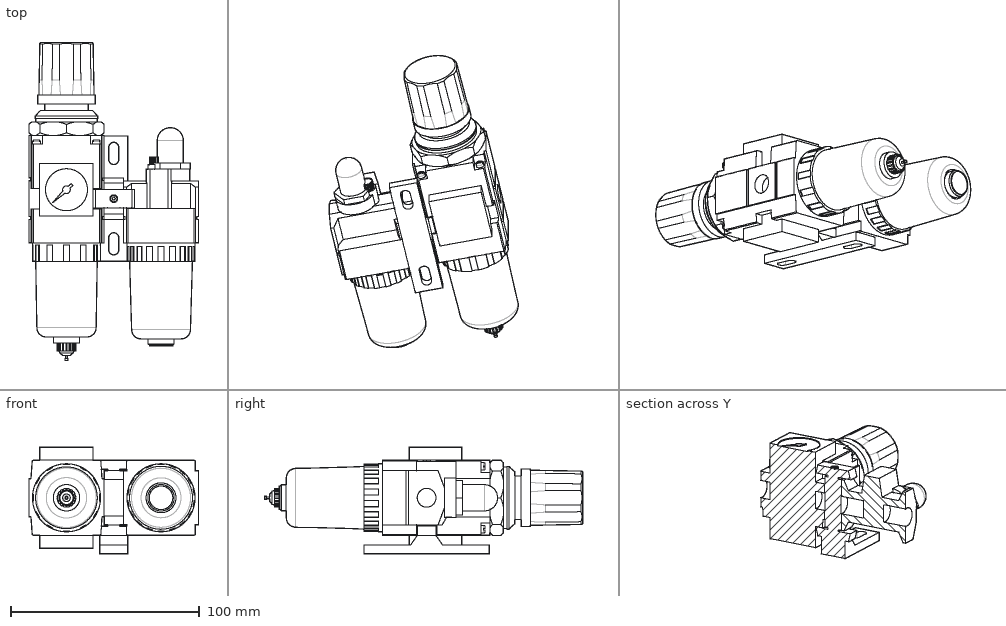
import cadquery as cq
import math


overall_width = 90.0
pitch = 50.0
body_half_z = 19.9
body_half_x = 18.2
side_draft = 0.7
band_half_x = (overall_width - pitch) / 2
body_bottom = -23.5
edge_bevel_x = 0.7
edge_bevel_z = 0.42
port_diameter = 10.0
port_depth = 13.5
groove_y = 10.3
groove_width = 1.43
groove_depth = 1.0
ring_radius = 18.0
ring_bottom = -33.2
ring_slot_width = 3.4
ring_slot_depth = 0.5
bowl_fillet = 5.0
flute_count = 16
flute_size = 0.7
tool_reach = 1.7

regulator_top = 33.5
clamp_inner_z = 15.0
regulator_band_half_z = 10.1
notch_half_y = 5.4
notch_inner_x = 14.2
pocket_inner_x = 12.8
pocket_inner_z = 13.3
pocket_depth = 4.7
screw_diameter = 4.0
screw_height = 2.2
screw_slot_width = 0.7
screw_slot_depth = 0.8
nut_radius = band_half_x
nut_top = 40.6
nut_chamfer = 1.3
seat_radius = 16.7
seat_base_radius = 16.3
seat_top_radius = 13.8
seat_lip_bottom = 42.5
seat_lip_top = 43.6
neck_radius = 11.6
neck_bottom = 46.7
flange_radius = 15.3
flange_bottom = 50.0
flange_top = 55.0
grip_radius = 15.0
grip_taper_start = 62.9
knob_top = 82.7
knob_top_radius = 13.6
knob_edge_radius = 14.7
knob_edge_height = 1.0
knob_sides = 8
knob_flat_top = 14.2
knob_flat_bottom = 14.7
gauge_half_x = 14.2
gauge_top = 18.7
gauge_bottom = -9.3
gauge_half_z = 26.8
dial_radius = 11.1
dial_depth = 0.5
needle_height = 0.3
needle_length = 10.1
needle_angle = 223.0
needle_hub_radius = 2.0
needle_root_half_width = 1.0
needle_tail_length = 4.0
needle_tail_half_width = 0.7
regulator_slots = 12
regulator_slot_top = -24.5
bowl_top_radius = 16.3
bowl_bottom_radius = 15.7
bowl_bottom = -73.3
drain_collar_radius = 14.0 / 2
drain_grip_bottom = -80.5
drain_grip_top = -76.5
drain_grip_radius = 10.0 / 2
drain_cone_radius = 4.0
drain_edge_radius = 3.5
drain_edge_y = -81.7
drain_tip_radius = 2.0
drain_tip_bottom = -83.0
pin_radius = 0.54
pin_head_radius = 0.8
pin_head_top = -84.8
pin_bottom = -85.8

lubricator_top = 9.5
head_front = -5.2
lubricator_band_half_z = 14.3
rear_floor_z = 9.0
rear_floor_half_x = 15.5
rear_bevel_y = 6.0
rear_bevel_floor_y = 8.1
boss_x = 49.0
boss_half_top = 4.7
boss_half_bottom = 6.9
boss_top_z = 19.2
boss_bottom_z = 6.2
boss_end_y = 15.7
dome_x = 55.0
dome_radius = 14.0 / 2
dome_fillet = 6.9
dome_top = 37.5
sight_hex_radius = 10.6
sight_seat_radius = 10.5
sight_hex_top = 18.9
needle_valve_x = 47.5
needle_valve_shoulder = 18.0
needle_valve_top = 22.0
needle_valve_radius = 3.5
needle_valve_collar_radius = 9.0 / 2
lubricator_slots = 18
lubricator_slot_top = -25.5
cup_top_radius = 16.7
cup_bottom_radius = 15.5
cup_bottom = -74.3
stub_radius = dome_radius
stub_end_radius = 6.2
stub_bevel_top = -76.8
stub_bevel_bottom = -77.5
stub_bottom = -78.0
stub_recess_radius = 8.0
stub_recess = 0.8

spacer_x = pitch / 2
spacer_half_x = spacer_x - band_half_x
spacer_half_z = lubricator_band_half_z
spacer_half_y = 11.0
spacer_flat_half_y = 8.3
spacer_flat_half_z = 9.6
hub_half_x = 3.2
clamp_half_y = 4.9
clamp_half_top = 9.6
clamp_half_bottom = spacer_x - notch_inner_x
clamp_screw_diameter = 4.0
clamp_screw_recess = 0.5
clamp_screw_core = 3.4
clamp_hex_size = 1.7
clamp_hex_depth = 1.3
bracket_half_x = 7.4
bracket_half_y = 33.2
bracket_top_z = -25.0
bracket_bottom_z = -29.7
riser_half_bottom = 8.5
bracket_slot_y = 24.0
bracket_slot_length = 11.6
bracket_slot_width = 5.2


def block(x0, x1, y0, y1, z0, z1):
    """Box between the given coordinates."""
    return cq.Workplane("XY").box(x1 - x0, y1 - y0, z1 - z0, centered=False).translate((x0, y0, z0))


def turned(points):
    """Solid of revolution about the Y axis; points are (radius, y)."""
    return cq.Workplane("XY").polyline(points).close().revolve(360, (0, 0, 0), (0, 1, 0))


def cylinder(radius, y0, y1):
    """Cylinder along the Y axis."""
    return turned([(0, y0), (radius, y0), (radius, y1), (0, y1)])


def extruded_y(section, y0, y1):
    """Prism along Y with the given (x, z) section."""
    return cq.Workplane("XZ", origin=(0, y1, 0)).polyline(section).close().extrude(y1 - y0)


def y_prism(sides, radius, y0, y1):
    """Regular prism along Y with a corner at +X."""
    angles = [math.radians(360 * i / sides) for i in range(sides)]
    corners = [(radius * math.cos(a), radius * math.sin(a)) for a in angles]
    return extruded_y(corners, y0, y1)


def beveled_body(y0, y1, band_half_z, draft):
    """Full-depth body block with bevelled long edges; the draft widens it towards the port bands."""
    half_flat = body_half_x - edge_bevel_x
    bevel_z = body_half_z - edge_bevel_z
    section = [
        (-half_flat, -body_half_z), (half_flat, -body_half_z), (body_half_x, -bevel_z),
        (body_half_x + draft, -band_half_z), (body_half_x + draft, band_half_z), (body_half_x, bevel_z),
        (half_flat, body_half_z), (-half_flat, body_half_z), (-body_half_x, bevel_z),
        (-body_half_x - draft, band_half_z), (-body_half_x - draft, -band_half_z), (-body_half_x, -bevel_z),
    ]
    return extruded_y(section, y0, y1)


def cut_band_grooves(body, half_z):
    """Grooves across both port bands."""
    for side in (-1, 1):
        for y in (-groove_y, groove_y):
            groove = cq.Workplane("XY").box(2 * groove_depth, groove_width, 2 * half_z)
            body = body.cut(groove.translate((side * band_half_x, y, 0)))
    return body


def port(side):
    """Blind port drilled in from the -X (-1) or +X (1) band."""
    return cq.Workplane("YZ", origin=(side * band_half_x, 0, 0)).circle(port_diameter / 2).extrude(
        -side * port_depth
    )


def slotted_ring(count, first_angle, slot_top):
    """Bowl collar with shallow slots around it, open at the lower end."""
    ring = cylinder(ring_radius, ring_bottom, body_bottom)
    cutter = block(
        ring_radius - ring_slot_depth, ring_radius + tool_reach,
        ring_bottom - tool_reach, slot_top,
        -ring_slot_width / 2, ring_slot_width / 2,
    )
    for i in range(count):
        ring = ring.cut(cutter.rotate((0, 0, 0), (0, 1, 0), first_angle + 360 * i / count))
    return ring


def bowl(top_radius, bottom_radius, bottom):
    """Tapered bowl below the collar, rounded at its lower end."""
    shell = turned([(0, ring_bottom), (top_radius, ring_bottom), (bottom_radius, bottom), (0, bottom)])
    return shell.faces("<Y").edges().fillet(bowl_fillet)


def fluted_grip(radius, y0, y1):
    """Cylinder along Y with square flutes around it."""
    grip = cylinder(radius, y0, y1)
    flute = cq.Workplane("XY").box(flute_size, y1 - y0, flute_size).translate((radius, (y0 + y1) / 2, 0))
    for i in range(flute_count):
        grip = grip.cut(flute.rotate((0, 0, 0), (0, 1, 0), 360 * i / flute_count))
    return grip


def knob():
    """Adjusting knob with drafted flats, its flange, neck and seat."""
    grip = turned([
        (0, flange_top), (grip_radius, flange_top), (grip_radius, grip_taper_start),
        (knob_edge_radius, knob_top - knob_edge_height), (knob_top_radius, knob_top), (0, knob_top),
    ])
    corner = 1 / math.cos(math.pi / knob_sides)
    half_step = 180 / knob_sides
    flats = (
        cq.Workplane("XZ", origin=(0, flange_top, 0))
        .polygon(knob_sides, 2 * knob_flat_bottom * corner)
        .workplane(offset=flange_top - knob_top)
        .polygon(knob_sides, 2 * knob_flat_top * corner)
        .loft(ruled=True)
        .rotate((0, 0, 0), (0, 1, 0), half_step)
    )
    base = turned([
        (0, nut_top), (seat_base_radius, nut_top), (seat_base_radius, seat_lip_bottom),
        (seat_radius, seat_lip_bottom), (seat_radius, seat_lip_top), (seat_top_radius, neck_bottom),
        (neck_radius, neck_bottom), (neck_radius, flange_bottom), (flange_radius, flange_bottom),
        (flange_radius, flange_top), (0, flange_top),
    ])
    return grip.intersect(flats).union(base)


def nut():
    """Octagonal nut, chamfered on both ends."""
    rim = nut_radius - nut_chamfer
    chamfer_cone = turned([
        (0, regulator_top), (rim, regulator_top), (nut_radius, regulator_top + nut_chamfer),
        (nut_radius, nut_top - nut_chamfer), (rim, nut_top), (0, nut_top),
    ])
    return y_prism(8, nut_radius, regulator_top, nut_top).intersect(chamfer_cone)


def regulator_body():
    """Body with side bands, ports and clamp notches."""
    body = beveled_body(body_bottom, regulator_top, regulator_band_half_z, side_draft)
    bands = block(
        -band_half_x, band_half_x, body_bottom, regulator_top,
        -regulator_band_half_z, regulator_band_half_z,
    )
    body = body.union(cut_band_grooves(bands, regulator_band_half_z))
    body = body.cut(port(-1)).cut(port(1))
    far_z = body_half_z + tool_reach
    for side in (-1, 1):
        x0, x1 = sorted((side * (band_half_x + tool_reach), side * notch_inner_x))
        body = body.cut(block(x0, x1, -notch_half_y, notch_half_y, regulator_band_half_z, far_z))
        body = body.cut(block(x0, x1, -notch_half_y, notch_half_y, -far_z, -clamp_inner_z))
    return body


def add_corner_screws(body):
    """Open pocket with a slotted screw head in each upper corner."""
    floor_y = regulator_top - pocket_depth
    screw_x = (pocket_inner_x + body_half_x + side_draft) / 2
    screw_z = (pocket_inner_z + body_half_z) / 2
    reach = band_half_x + tool_reach
    for side_x in (-1, 1):
        for side_z in (-1, 1):
            x0, x1 = sorted((side_x * pocket_inner_x, side_x * reach))
            z0, z1 = sorted((side_z * pocket_inner_z, side_z * reach))
            body = body.cut(block(x0, x1, floor_y, regulator_top, z0, z1))
            head = cylinder(screw_diameter / 2, floor_y, floor_y + screw_height)
            head = head.faces(">Y").edges().fillet(screw_slot_depth)
            slot = cq.Workplane("XY").box(screw_diameter, 2 * screw_slot_depth, screw_slot_width)
            head = head.cut(slot.translate((0, floor_y + screw_height, 0)))
            body = body.union(head.translate((side_x * screw_x, 0, side_z * screw_z)))
    return body


def gauge():
    """Square gauge through the body, with a dial and needle on the upper face."""
    case = block(-gauge_half_x, gauge_half_x, gauge_bottom, gauge_top, -gauge_half_z, gauge_half_z)
    dial_y = (gauge_top + gauge_bottom) / 2
    dial_floor = gauge_half_z - dial_depth
    case = case.cut(
        cq.Workplane("XY", origin=(0, dial_y, dial_floor)).circle(dial_radius).extrude(dial_depth)
    )
    pointer = cq.Workplane("XY").polyline(
        [(0, -needle_root_half_width), (needle_length, 0), (0, needle_root_half_width)]
    ).close().extrude(needle_height)
    tail = block(
        -needle_tail_length, 0, -needle_tail_half_width, needle_tail_half_width, 0, needle_height
    )
    hub = cq.Workplane("XY").circle(needle_hub_radius).extrude(needle_height)
    needle = hub.union(pointer).union(tail)
    needle = needle.rotate((0, 0, 0), (0, 0, 1), needle_angle)
    return case.union(needle.translate((0, dial_y, dial_floor)))


def drain():
    """Drain collar, fluted grip and push pin."""
    collar = cylinder(drain_collar_radius, drain_grip_top, bowl_bottom)
    grip = fluted_grip(drain_grip_radius, drain_grip_bottom, drain_grip_top)
    tip = turned([
        (0, pin_bottom), (pin_head_radius, pin_bottom), (pin_head_radius, pin_head_top),
        (pin_radius, pin_head_top), (pin_radius, drain_tip_bottom), (drain_tip_radius, drain_tip_bottom),
        (drain_edge_radius, drain_edge_y), (drain_cone_radius, drain_grip_bottom), (0, drain_grip_bottom),
    ])
    return collar.union(grip).union(tip)


def make_regulator():
    """Filter-regulator with its knob, gauge, bowl and drain."""
    body = add_corner_screws(regulator_body())
    body = body.union(gauge()).union(nut()).union(knob())
    body = body.union(slotted_ring(regulator_slots, 0, regulator_slot_top))
    return body.union(bowl(bowl_top_radius, bowl_bottom_radius, bowl_bottom)).union(drain())


def lubricator_body():
    """Full-depth block with a shallower, recessed part above it."""
    band = block(
        -band_half_x, band_half_x, body_bottom, lubricator_top,
        -lubricator_band_half_z, lubricator_band_half_z,
    )
    band = cut_band_grooves(band, lubricator_band_half_z)
    bevel_slope = (lubricator_band_half_z - rear_floor_z) / (rear_bevel_floor_y - rear_bevel_y)
    bevel_end_z = lubricator_band_half_z - bevel_slope * (lubricator_top - rear_bevel_y)
    bevel = cq.Workplane("YZ", origin=(-band_half_x, 0, 0)).polyline([
        (rear_bevel_y, lubricator_band_half_z), (lubricator_top, lubricator_band_half_z),
        (lubricator_top, bevel_end_z),
    ]).close().extrude(2 * band_half_x)
    recess = extruded_y([
        (-rear_floor_half_x, rear_floor_z), (rear_floor_half_x, rear_floor_z),
        (body_half_x, lubricator_band_half_z), (-body_half_x, lubricator_band_half_z),
    ], head_front, lubricator_top)
    for cutter in (bevel, recess):
        band = band.cut(cutter).cut(cutter.mirror("XY"))
    body = band.union(beveled_body(body_bottom, head_front, lubricator_band_half_z, 0))
    return body.cut(port(1)).cut(port(-1)).translate((pitch, 0, 0))


def sight_dome():
    """Domed sight glass on a hexagonal seat."""
    dome = cylinder(dome_radius, lubricator_top, dome_top).faces(">Y").edges().fillet(dome_fillet)
    seat = cylinder(sight_seat_radius, lubricator_top, boss_end_y)
    hexagon = y_prism(6, sight_hex_radius, boss_end_y, sight_hex_top)
    return dome.union(seat).union(hexagon).translate((dome_x, 0, 0))


def drip_boss():
    """Tapered boss beside the dome."""
    return extruded_y([
        (boss_x - boss_half_bottom, boss_bottom_z), (boss_x + boss_half_bottom, boss_bottom_z),
        (boss_x + boss_half_top, boss_top_z), (boss_x - boss_half_top, boss_top_z),
    ], head_front, boss_end_y)


def needle_valve():
    """Fluted needle valve beside the dome."""
    collar = cylinder(needle_valve_collar_radius, lubricator_top, needle_valve_shoulder)
    grip = fluted_grip(needle_valve_radius, needle_valve_shoulder, needle_valve_top)
    return collar.union(grip).translate((needle_valve_x, 0, 0))


def make_lubricator():
    """Lubricator with its sight dome, boss, needle valve and cup."""
    cup = bowl(cup_top_radius, cup_bottom_radius, cup_bottom)
    cup = cup.cut(cylinder(stub_recess_radius, cup_bottom, cup_bottom + stub_recess))
    stub = turned([
        (0, stub_bottom), (stub_end_radius, stub_bottom), (stub_end_radius, stub_bevel_bottom),
        (stub_radius, stub_bevel_top), (stub_radius, cup_bottom + stub_recess), (0, cup_bottom + stub_recess),
    ])
    collar = slotted_ring(lubricator_slots, 180 / lubricator_slots, lubricator_slot_top)
    lower = collar.union(cup).union(stub).translate((pitch, 0, 0))
    return lubricator_body().union(sight_dome()).union(drip_boss()).union(needle_valve()).union(lower)


def clamp_bar():
    """Bar that spans the notches of both units, with a hub down to the port block."""
    bar = extruded_y([
        (-clamp_half_bottom, clamp_inner_z), (clamp_half_bottom, clamp_inner_z),
        (clamp_half_top, body_half_z), (-clamp_half_top, body_half_z),
    ], -clamp_half_y, clamp_half_y)
    hub = block(
        -hub_half_x, hub_half_x, -clamp_half_y, clamp_half_y, spacer_half_z - tool_reach, clamp_inner_z
    )
    return bar.union(hub)


def make_spacer():
    """Port block, a clamp bar on each side and the wall bracket."""
    body = cq.Workplane("YZ", origin=(-spacer_half_x, 0, 0)).polyline([
        (-spacer_flat_half_y, spacer_half_z), (spacer_flat_half_y, spacer_half_z),
        (spacer_half_y, spacer_flat_half_z), (spacer_half_y, -spacer_flat_half_z),
        (spacer_flat_half_y, -spacer_half_z), (-spacer_flat_half_y, -spacer_half_z),
        (-spacer_half_y, -spacer_flat_half_z), (-spacer_half_y, spacer_flat_half_z),
    ]).close().extrude(2 * spacer_half_x)
    body = body.union(clamp_bar()).union(clamp_bar().mirror("XY"))
    face = cq.Workplane("XY", origin=(0, 0, body_half_z))
    ring = face.circle(clamp_screw_diameter / 2).circle(clamp_screw_core / 2).extrude(-clamp_screw_recess)
    socket = face.polygon(6, clamp_hex_size).extrude(-clamp_hex_depth)
    body = body.cut(ring).cut(socket)
    riser = cq.Workplane("YZ", origin=(-bracket_half_x, 0, 0)).polyline([
        (-clamp_half_y, -body_half_z), (clamp_half_y, -body_half_z),
        (riser_half_bottom, bracket_top_z), (-riser_half_bottom, bracket_top_z),
    ]).close().extrude(2 * bracket_half_x)
    plate = block(
        -bracket_half_x, bracket_half_x, -bracket_half_y, bracket_half_y, bracket_bottom_z, bracket_top_z
    )
    slots = (
        cq.Workplane("XY", origin=(0, 0, bracket_bottom_z))
        .pushPoints([(0, -bracket_slot_y), (0, bracket_slot_y)])
        .slot2D(bracket_slot_length, bracket_slot_width, 90)
        .extrude(bracket_top_z - bracket_bottom_z)
    )
    return body.union(riser).union(plate.cut(slots)).translate((spacer_x, 0, 0))


regulator = make_regulator()
lubricator = make_lubricator()
spacer = make_spacer()

result = cq.Compound.makeCompound([regulator.val(), lubricator.val(), spacer.val()])